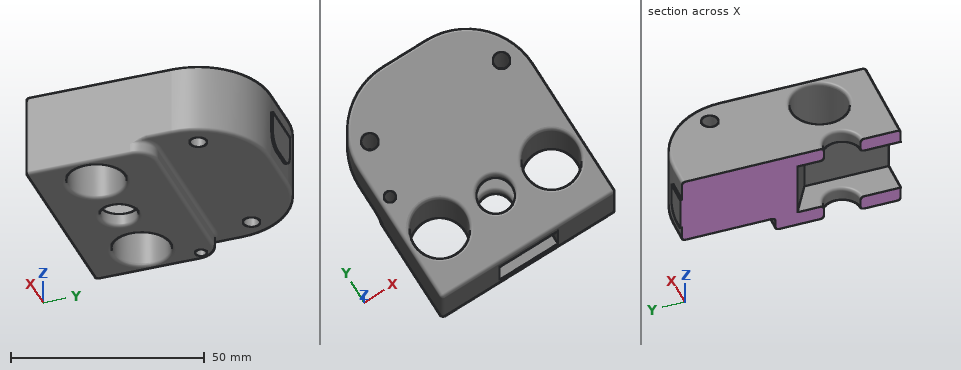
import cadquery as cq
import math

width = 53.0
length = 60.6
height = 24.0
pad_thickness = 0.5
body_length = length - pad_thickness
back_corner_radius = 20.0
edge_radius = 0.95

underside_step = 4.0
deep_length = 34.4
deep_corner_radius = 5.7

bore_diameter = 15.5
bore_offset = 17.0
center_hole_diameter = 10.0
bore_row_y = 16.05
screw_hole_diameter = 4.5
screw_hole_offset = 20.05
screw_hole_y = 45.1
pin_hole_diameter = 3.1
pin_hole_x = -23.45
pin_hole_y = 30.0

pocket_width = 17.8
pocket_height = 15.45
pocket_floor = 4.35
pocket_straight_length = 23.2
pocket_tip_angle = 120.0

pad_width = 12.7
pad_height = 9.7
pad_bottom = 8.5
pad_lower_corner_radius = 3.9


def slab(depth, corner_radius, bottom, top):
    """Block from the front face, with its two back corners rounded."""
    return (
        cq.Workplane("XY", origin=(0, 0, bottom))
        .rect(width, 2 * depth)
        .extrude(top - bottom)
        .edges("|Z and >Y")
        .fillet(corner_radius)
        .intersect(cq.Workplane("XY").box(width, depth, height, centered=(True, False, False)))
    )


def make_body():
    upper = slab(body_length, back_corner_radius, underside_step, height)
    lower = slab(deep_length, deep_corner_radius, 0, underside_step)
    body = upper.union(lower).clean()
    for edge_y in (deep_length, body_length):
        middle_edge = cq.selectors.NearestToPointSelector((0, edge_y, underside_step))
        body = body.edges(middle_edge).fillet(edge_radius)
    body = body.edges("|Z and <Y").fillet(edge_radius)
    return body.faces("<Z or >Z").edges().fillet(edge_radius)


def rounded_hole(x, y, diameter, bottom, top):
    """Cutter for a hole whose two rims flare out with a quarter round."""
    radius = diameter / 2
    rim = radius + edge_radius
    lower_throat = bottom + edge_radius
    upper_throat = top - edge_radius
    bulge = edge_radius * (1 - math.sqrt(0.5))
    return (
        cq.Workplane("XZ")
        .moveTo(0, bottom)
        .lineTo(rim, bottom)
        .threePointArc((radius + bulge, bottom + bulge), (radius, lower_throat))
        .lineTo(radius, upper_throat)
        .threePointArc((radius + bulge, top - bulge), (rim, top))
        .lineTo(0, top)
        .close()
        .revolve(360, (0, 0, 0), (0, 1, 0))
        .translate((x, y, 0))
    )


def plain_hole(x, y, diameter):
    return cq.Workplane("XY").center(x, y).circle(diameter / 2).extrude(height)


def make_pocket():
    half = pocket_width / 2
    tip_y = pocket_straight_length + half / math.tan(math.radians(pocket_tip_angle / 2))
    return (
        cq.Workplane("XY", origin=(0, 0, pocket_floor))
        .moveTo(-half, 0)
        .lineTo(half, 0)
        .lineTo(half, pocket_straight_length)
        .lineTo(0, tip_y)
        .lineTo(-half, pocket_straight_length)
        .close()
        .extrude(pocket_height)
    )


def make_pad():
    return (
        cq.Workplane("XY")
        .box(pad_width, 2 * pad_thickness, pad_height)
        .edges("|Y and <Z")
        .fillet(pad_lower_corner_radius)
        .translate((0, body_length, pad_bottom + pad_height / 2))
    )


result = make_body().union(make_pad()).cut(make_pocket())

pocket_ceiling = pocket_floor + pocket_height
for side in (-1, 1):
    result = result.cut(rounded_hole(side * bore_offset, bore_row_y, bore_diameter, 0, height))
    result = result.cut(plain_hole(side * screw_hole_offset, screw_hole_y, screw_hole_diameter))
result = result.cut(rounded_hole(0, bore_row_y, center_hole_diameter, 0, pocket_floor))
result = result.cut(rounded_hole(0, bore_row_y, center_hole_diameter, pocket_ceiling, height))
result = result.cut(plain_hole(pin_hole_x, pin_hole_y, pin_hole_diameter))